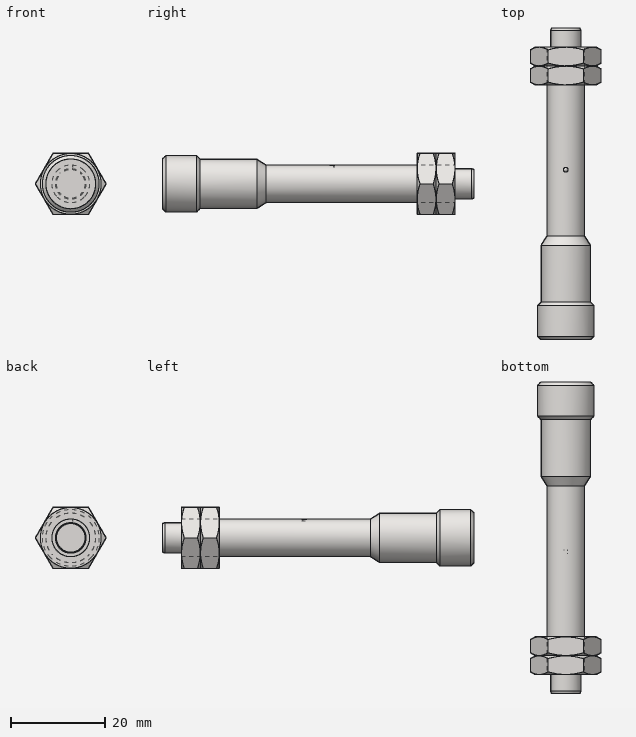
import cadquery as cq
import math

total_length = 66.0
front_y = -total_length / 2
back_y = total_length / 2

head_diameter = 12.0
head_chamfer = 0.7
head_end = front_y + 8.0

body_diameter = 10.5
taper_start = front_y + 20.0
taper_length = 2.0

shaft_diameter = 8.0
tip_diameter = 6.5
tip_length = 4.0
tip_chamfer_length = 0.5
tip_chamfer_depth = 0.2
shaft_end = back_y - tip_length

recess_diameter = 1.0
recess_y = front_y + 36.0
dome_radius = 0.5
dome_top_depth = 0.1

nut_count = 2
nut_flats = 13.0
nut_corners = nut_flats / math.cos(math.radians(30))
nut_height = 4.0
nut_face_diameter = 12.9
nut_chamfer_angle = 30.0


def revolve_about_y(profile):
    """Revolve a closed (radius, y) profile about the Y axis."""
    return cq.Workplane("XY").polyline(profile).close().revolve(360, (0, 0, 0), (0, 1, 0))


def make_recess_cutter():
    """Upright cylinder hollowed from below by a ball, which leaves a dome on the recess floor."""
    dome_center = (0, recess_y, shaft_diameter / 2 - dome_top_depth - dome_radius)
    cylinder = (
        cq.Workplane("XY", origin=dome_center)
        .circle(recess_diameter / 2)
        .extrude(2 * dome_radius)
    )
    ball = cq.Workplane("XY").sphere(dome_radius).rotate((0, 0, 0), (0, 1, 0), 90).translate(dome_center)
    return cylinder.cut(ball)


def make_spindle():
    """Stepped round spindle with a small domed recess."""
    head_radius = head_diameter / 2
    body_radius = body_diameter / 2
    shaft_radius = shaft_diameter / 2
    tip_radius = tip_diameter / 2
    rear_chamfer = head_radius - body_radius
    spindle = revolve_about_y([
        (0, front_y),
        (head_radius - head_chamfer, front_y),
        (head_radius, front_y + head_chamfer),
        (head_radius, head_end - rear_chamfer),
        (body_radius, head_end),
        (body_radius, taper_start),
        (shaft_radius, taper_start + taper_length),
        (shaft_radius, shaft_end),
        (tip_radius, shaft_end),
        (tip_radius, back_y - tip_chamfer_length),
        (tip_radius - tip_chamfer_depth, back_y),
        (0, back_y),
    ])
    return spindle.cut(make_recess_cutter())


def make_nut(start_y):
    """Hexagon nut, corners along X, with conical chamfers on both faces."""
    end_y = start_y + nut_height
    hexagon = (
        cq.Workplane("XZ", origin=(0, end_y, 0))
        .polygon(6, nut_corners)
        .circle(shaft_diameter / 2)
        .extrude(nut_height)
    )
    face_radius = nut_face_diameter / 2
    outer_radius = nut_corners / 2
    chamfer_height = (outer_radius - face_radius) * math.tan(math.radians(nut_chamfer_angle))
    chamfer_envelope = revolve_about_y([
        (0, start_y),
        (face_radius, start_y),
        (outer_radius, start_y + chamfer_height),
        (outer_radius, end_y - chamfer_height),
        (face_radius, end_y),
        (0, end_y),
    ])
    return hexagon.intersect(chamfer_envelope)


spindle = make_spindle()

nuts = []
for index in range(nut_count):
    nuts.append(make_nut(shaft_end - (index + 1) * nut_height))

result = cq.Compound.makeCompound([spindle.val(), *[nut.val() for nut in nuts]])